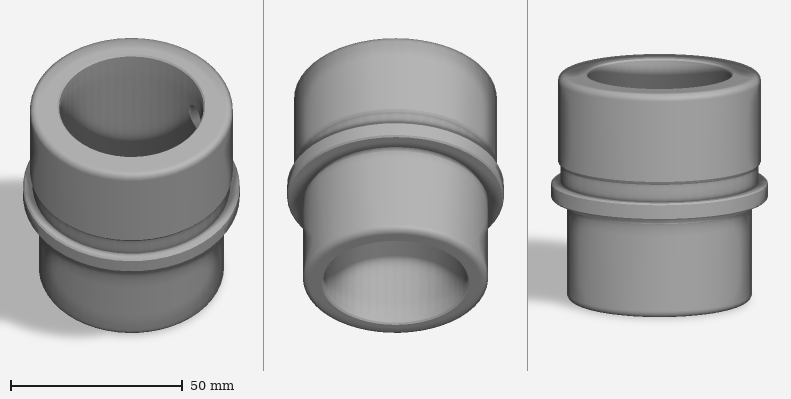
import cadquery as cq
import math

height = 67.0
bore_diameter = 42.1
bore_chamfer = 0.5

spigot_radius = 53.95 / 2
spigot_taper_height = 2.0
spigot_taper_angle = 25.0
spigot_top_radius = spigot_radius - spigot_taper_height * math.tan(math.radians(spigot_taper_angle))

flange_radius = 63.05 / 2
flange_bottom = 30.0
flange_thickness = 5.0
flange_top = flange_bottom + flange_thickness
flange_chamfer = 0.5

neck_radius = 57.6 / 2
body_radius = 59.0 / 2
body_bottom = 41.1
neck_top = body_bottom - 1.0
end_fillet = 2.0

hole_diameter = 8.0
hole_height = 53.0


def turned_blank():
    """Solid of revolution with the stepped outer outline."""
    outline = (
        cq.Workplane("XZ")
        .lineTo(spigot_radius, 0)
        .lineTo(spigot_radius, flange_bottom - spigot_taper_height)
        .lineTo(spigot_top_radius, flange_bottom)
        .lineTo(flange_radius - flange_chamfer, flange_bottom)
        .lineTo(flange_radius, flange_bottom + flange_chamfer)
        .lineTo(flange_radius, flange_top - flange_chamfer)
        .lineTo(flange_radius - flange_chamfer, flange_top)
        .lineTo(neck_radius, flange_top)
        .lineTo(neck_radius, neck_top)
        .lineTo(body_radius, body_bottom)
        .lineTo(body_radius, height)
        .lineTo(0, height)
        .close()
    )
    blank = outline.revolve(360, (0, 0, 0), (0, 1, 0))
    return blank.faces("<Z or >Z").edges().fillet(end_fillet)


def bore(blank):
    """Through bore with a small chamfer at both mouths."""
    bored = blank.faces(">Z").workplane(origin=(0, 0, height)).hole(bore_diameter)
    mouths = bored.faces("<Z or >Z").edges(cq.selectors.RadiusNthSelector(0))
    return mouths.chamfer(bore_chamfer)


def radial_hole():
    """Cutter running from the axis out through the +Y wall."""
    section = cq.Workplane("XZ").center(0, hole_height).circle(hole_diameter / 2)
    return section.extrude(-flange_radius)


result = bore(turned_blank()).cut(radial_hole())